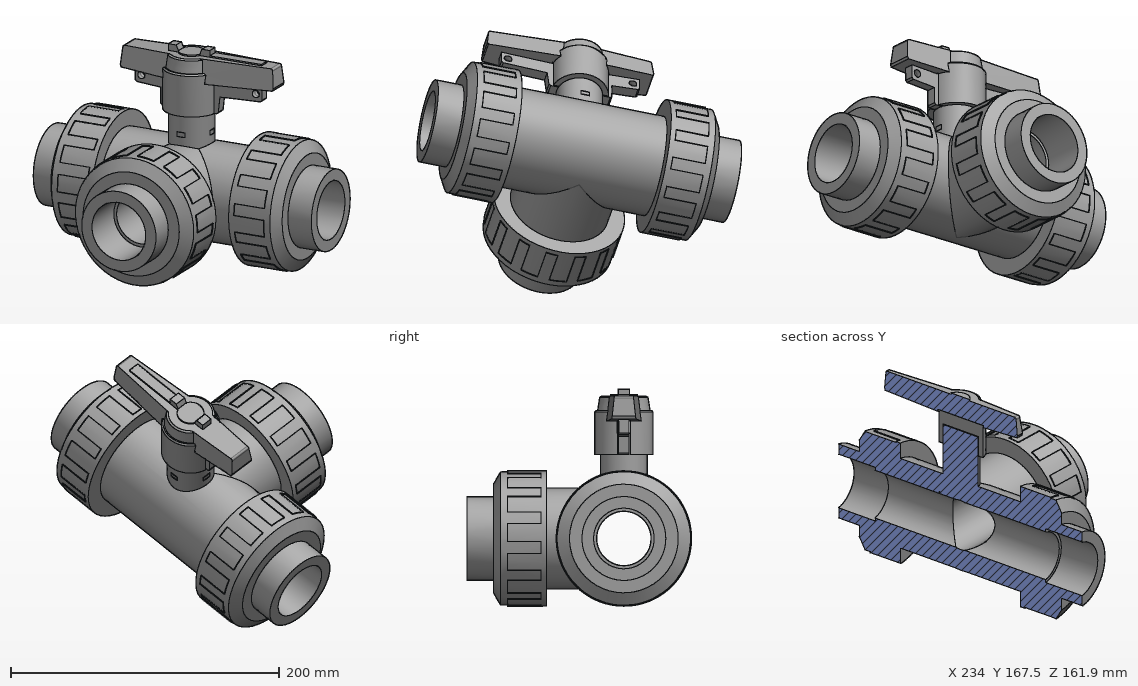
import cadquery as cq
import math


PORT_REACH = 117.0
BODY_RADIUS = 37.8
CONNECTOR_RADIUS = 31.25
BORE_RADIUS = 20.2
SOCKET_RADIUS = 22.6
SOCKET_DEPTH = 35.0

NUT_RADIUS = 50.5
NUT_ROOT_RADIUS = 49.75
NUT_NOSE_RADIUS = 40.5
NUT_START = 57.5
NUT_END = 97.3
NOSE_LENGTH = 5.5
NOTCH_START = 61.7
TOOTH_END = 86.7
NOTCH_COUNT = 14
NOTCH_ANGLE = 10.3

STEM_RADIUS = 17.5
STEM_TOP = 78.6
STEM_NOTCH_WIDTH = 6.7
STEM_NOTCH_DEPTH = 0.5
STEM_NOTCH_BOTTOM = 44.5
STEM_NOTCH_TOP = 48.2
HUB_RADIUS = 21.8
HUB_BOTTOM = 62.4
HUB_SHOULDER = 95.5
HUB_CHAMFER = 1.2
CAP_BASE_RADIUS = 19.6
CAP_TOP_RADIUS = 18.1
CAP_ROUND = 1.6
CAP_ROUND_HEIGHT = 0.9

HANDLE_TOP = 106.1
HANDLE_ROOT_BOTTOM = 87.4
HANDLE_TIP_BOTTOM = 89.2
SHORT_TIP = -54.8
LONG_TIP = 73.1
TIP_DRAFT = 1.4
TIP_ROUND = 1.7
TIP_CHAMFER = 0.7
TIP_CHAMFER_HEIGHT = 2.0
ROOT_X = 17.5
BOTTOM_HALF_WIDTHS = (10.7, 14.2, 9.1)
TOP_HALF_WIDTHS = (8.4, 11.6, 7.0)

MARK_TOP = 107.2
DISC_RADIUS = 10.0
MARK_WIDTH = 8.6
POINTER_END = 61.0
TAB_TOP = 111.37
TAB_OUTER = 17.4
TAB_INNER_TOP = 10.8
TAB_INNER_BOTTOM = 9.0

PLATE_THICKNESS = 7.9
SLOT_WIDTH = 9.8
PLATE_TOP = HANDLE_TIP_BOTTOM + 1.0
PLATE_LEFT = -45.5
PLATE_RIGHT = 61.0
PLATE_TIP_BOTTOM = 77.4
PLATE_CHAMFER = 1.3
LEG_LEFT = -24.2
LEG_RIGHT_TOP = 25.8
LEG_RIGHT_BOTTOM = 24.4
LEG_TOP = 76.0
LOCK_HOLE_RADIUS = 2.9
LOCK_HOLE_INSET = 5.1
LOCK_HOLE_HEIGHT = 83.1


def cylinder(radius, bottom, top):
    return cq.Workplane("XY").workplane(offset=bottom).circle(radius).extrude(top - bottom)


def block(x_min, x_max, width, bottom, top):
    """Box centred on Y = 0."""
    return (
        cq.Workplane("XY")
        .box(x_max - x_min, width, top - bottom, centered=(False, True, False))
        .translate((x_min, 0, bottom))
    )


def xz_plate(points, width):
    """Extrude an XZ outline symmetrically about Y = 0."""
    return cq.Workplane("XZ").polyline(points).close().extrude(width / 2, both=True)


def notch_cutter():
    """Wedge from the axis past the nut surface that parts two neighbouring teeth."""
    start = math.radians(90)
    end = math.radians(90 + NOTCH_ANGLE)
    reach = 1.1 * NUT_RADIUS
    return (
        cq.Workplane("XY")
        .workplane(offset=NOTCH_START)
        .polyline([
            (0, 0),
            (reach * math.cos(start), reach * math.sin(start)),
            (reach * math.cos(end), reach * math.sin(end)),
        ])
        .close()
        .extrude(TOOTH_END - NOTCH_START)
    )


def make_grip():
    """Raised collar of the nut with teeth pointing outward along the port."""
    grip = cylinder(NUT_RADIUS, NUT_START, TOOTH_END)
    cutter = notch_cutter()
    for index in range(NOTCH_COUNT):
        grip = grip.cut(cutter.rotate((0, 0, 0), (0, 0, 1), index * 360 / NOTCH_COUNT))
    return grip


def make_port():
    """Solid port along +Z: tee branch, union nut and connector end, without the bore."""
    profile = [
        (0, 0),
        (BODY_RADIUS, 0),
        (BODY_RADIUS, NUT_START),
        (NUT_ROOT_RADIUS, NUT_START),
        (NUT_ROOT_RADIUS, NUT_END - NOSE_LENGTH),
        (NUT_NOSE_RADIUS, NUT_END),
        (CONNECTOR_RADIUS, NUT_END),
        (CONNECTOR_RADIUS, PORT_REACH),
        (0, PORT_REACH),
    ]
    core = cq.Workplane("XZ").polyline(profile).close().revolve(360, (0, 0), (0, 1))
    return core.union(make_grip())


def make_bore():
    """Bore and socket of one port along +Z."""
    passage = cylinder(BORE_RADIUS, 0, PORT_REACH)
    return passage.union(cylinder(SOCKET_RADIUS, PORT_REACH - SOCKET_DEPTH, PORT_REACH))


def place_ports(shape):
    """Copies of a +Z shape turned toward -Y, -X and +X."""
    toward_front = shape.rotate((0, 0, 0), (1, 0, 0), 90)
    combined = toward_front
    for turn in (-90, 90):
        combined = combined.union(toward_front.rotate((0, 0, 0), (0, 0, 1), turn))
    return combined


def make_stem():
    stem = cylinder(STEM_RADIUS, 0, STEM_TOP)
    notch = block(
        STEM_RADIUS - STEM_NOTCH_DEPTH, HUB_RADIUS, STEM_NOTCH_WIDTH, STEM_NOTCH_BOTTOM, STEM_NOTCH_TOP
    )
    for turn in (0, 90, 180, 270):
        stem = stem.cut(notch.rotate((0, 0, 0), (0, 0, 1), turn))
    return stem


def make_hub():
    """Cylindrical hub with a tapered cap."""
    profile = [
        (0, HUB_BOTTOM),
        (HUB_RADIUS, HUB_BOTTOM),
        (HUB_RADIUS, HUB_SHOULDER - HUB_CHAMFER),
        (HUB_RADIUS - HUB_CHAMFER, HUB_SHOULDER),
        (CAP_BASE_RADIUS, HUB_SHOULDER),
        (CAP_TOP_RADIUS, HANDLE_TOP - CAP_ROUND_HEIGHT),
        (CAP_TOP_RADIUS - CAP_ROUND, HANDLE_TOP),
        (0, HANDLE_TOP),
    ]
    return cq.Workplane("XZ").polyline(profile).close().revolve(360, (0, 0), (0, 1))


def handle_plan(half_widths):
    """Six-sided plan outline, widest at the hub and narrowing to both tips."""
    short_end, middle, long_end = half_widths
    return [
        (SHORT_TIP, short_end),
        (0, middle),
        (LONG_TIP, long_end),
        (LONG_TIP, -long_end),
        (0, -middle),
        (SHORT_TIP, -short_end),
    ]


def make_handle():
    """Drafted bar trimmed to its side outline, with rounded upper tip edges."""
    bar = (
        cq.Workplane("XY")
        .workplane(offset=HANDLE_ROOT_BOTTOM)
        .polyline(handle_plan(BOTTOM_HALF_WIDTHS))
        .close()
        .workplane(offset=HANDLE_TOP - HANDLE_ROOT_BOTTOM)
        .polyline(handle_plan(TOP_HALF_WIDTHS))
        .close()
        .loft(ruled=True)
    )
    side_outline = [
        (SHORT_TIP, HANDLE_TIP_BOTTOM + TIP_CHAMFER_HEIGHT),
        (SHORT_TIP + TIP_CHAMFER, HANDLE_TIP_BOTTOM),
        (-ROOT_X, HANDLE_ROOT_BOTTOM),
        (ROOT_X, HANDLE_ROOT_BOTTOM),
        (LONG_TIP - TIP_CHAMFER, HANDLE_TIP_BOTTOM),
        (LONG_TIP, HANDLE_TIP_BOTTOM + TIP_CHAMFER_HEIGHT),
        (LONG_TIP - TIP_DRAFT, HANDLE_TOP),
        (SHORT_TIP + TIP_DRAFT, HANDLE_TOP),
    ]
    trim = xz_plate(side_outline, 4 * max(BOTTOM_HALF_WIDTHS))
    trim = trim.faces(">Z").edges("|Y").fillet(TIP_ROUND)
    return bar.intersect(trim)


def make_top_marks():
    """Centre disc, pointer strip and the two upright tabs."""
    marks = cylinder(DISC_RADIUS, HANDLE_TOP, MARK_TOP)
    marks = marks.union(block(TAB_INNER_BOTTOM, POINTER_END, MARK_WIDTH, HANDLE_TOP, MARK_TOP))
    tab = xz_plate(
        [
            (TAB_INNER_BOTTOM, HANDLE_TOP),
            (TAB_INNER_BOTTOM, MARK_TOP),
            (TAB_INNER_TOP, TAB_TOP),
            (TAB_OUTER, TAB_TOP),
            (TAB_OUTER, HANDLE_TOP),
        ],
        MARK_WIDTH,
    )
    return marks.union(tab).union(tab.mirror("YZ"))


def make_lock_plate():
    """Plate below the handle with a padlock hole near each end and a leg inside the hub."""
    outline = [
        (PLATE_LEFT, PLATE_TOP),
        (PLATE_LEFT, PLATE_TIP_BOTTOM + PLATE_CHAMFER),
        (PLATE_LEFT + PLATE_CHAMFER, PLATE_TIP_BOTTOM),
        (LEG_LEFT, LEG_TOP),
        (LEG_LEFT, HUB_BOTTOM + PLATE_CHAMFER),
        (LEG_LEFT + PLATE_CHAMFER, HUB_BOTTOM),
        (LEG_RIGHT_BOTTOM - PLATE_CHAMFER, HUB_BOTTOM),
        (LEG_RIGHT_BOTTOM, HUB_BOTTOM + PLATE_CHAMFER),
        (LEG_RIGHT_TOP, LEG_TOP),
        (PLATE_RIGHT - PLATE_CHAMFER, PLATE_TIP_BOTTOM),
        (PLATE_RIGHT, PLATE_TIP_BOTTOM + PLATE_CHAMFER),
        (PLATE_RIGHT, PLATE_TOP),
    ]
    holes = (
        cq.Workplane("XZ")
        .pushPoints([
            (PLATE_LEFT + LOCK_HOLE_INSET, LOCK_HOLE_HEIGHT),
            (PLATE_RIGHT - LOCK_HOLE_INSET, LOCK_HOLE_HEIGHT),
        ])
        .circle(LOCK_HOLE_RADIUS)
        .extrude(PLATE_THICKNESS, both=True)
    )
    return xz_plate(outline, PLATE_THICKNESS).cut(holes)


def make_lever():
    """Handle, hub and lock plate; the hub slot is left open on both sides of the plate."""
    slot = block(-HUB_RADIUS, HUB_RADIUS, SLOT_WIDTH, HUB_BOTTOM, HANDLE_TIP_BOTTOM)
    return make_hub().union(make_handle()).cut(slot).union(make_lock_plate()).union(make_top_marks())


valve = place_ports(make_port()).union(make_stem()).cut(place_ports(make_bore()))
result = valve.union(make_lever())